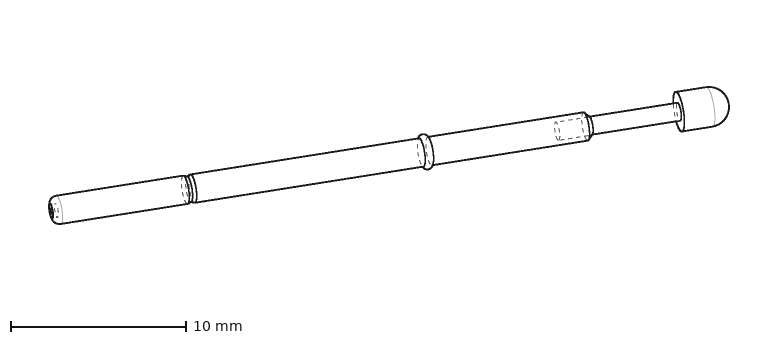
import cadquery as cq
import math


total_length = 40.3

head_diameter = 2.3
head_length = 2.95
stem_diameter = 1.05
stem_insertion = 2.0

barrel_diameter = 1.65
barrel_length = 32.1
rear_recess_diameter = 0.8
rear_recess_depth = 0.3
ring_center = 22.27
ring_diameter = 2.05
ring_width = 0.5
groove_center = 8.2
groove_width = 0.44
groove_depth = 0.08

head_radius = head_diameter / 2
stem_radius = stem_diameter / 2
barrel_radius = barrel_diameter / 2
rear_recess_radius = rear_recess_diameter / 2
stem_end = barrel_length - stem_insertion

diagonal = math.sin(math.radians(45))


def revolve_about_y(profile):
    """Turn a closed (Y, Z) half profile around the Y axis."""
    return profile.revolve(360, (0, 0, 0), (1, 0, 0))


def make_plunger():
    """Stem with a cylindrical head and a hemispherical contact tip."""
    head_back = total_length - head_length
    dome_start = total_length - head_radius
    dome_middle = head_radius * diagonal
    profile = (
        cq.Workplane("YZ")
        .moveTo(stem_end, 0)
        .lineTo(stem_end, stem_radius)
        .lineTo(head_back, stem_radius)
        .lineTo(head_back, head_radius)
        .lineTo(dome_start, head_radius)
        .threePointArc((dome_start + dome_middle, dome_middle), (total_length, 0))
        .close()
    )
    return revolve_about_y(profile)


def make_barrel():
    """Barrel with a rounded, recessed rear end, a V groove, a press ring and a tapered nose."""
    rear_round = barrel_radius - rear_recess_radius
    nose_chamfer = barrel_radius - stem_radius
    nose_start = barrel_length - nose_chamfer
    button_radius = (rear_recess_radius**2 + rear_recess_depth**2) / (2 * rear_recess_depth)
    button_half_angle = math.asin(rear_recess_radius / button_radius) / 2
    button_middle = (
        button_radius * (1 - math.cos(button_half_angle)),
        button_radius * math.sin(button_half_angle),
    )
    profile = (
        cq.Workplane("YZ")
        .moveTo(0, 0)
        .threePointArc(button_middle, (rear_recess_depth, rear_recess_radius))
        .lineTo(0, rear_recess_radius)
        .threePointArc(
            (rear_round * (1 - diagonal), rear_recess_radius + rear_round * diagonal),
            (rear_round, barrel_radius),
        )
        .lineTo(groove_center - groove_width / 2, barrel_radius)
        .lineTo(groove_center, barrel_radius - groove_depth)
        .lineTo(groove_center + groove_width / 2, barrel_radius)
        .lineTo(ring_center - ring_width / 2, barrel_radius)
        .threePointArc((ring_center, ring_diameter / 2), (ring_center + ring_width / 2, barrel_radius))
        .lineTo(nose_start, barrel_radius)
        .lineTo(barrel_length, stem_radius)
        .lineTo(stem_end, stem_radius)
        .lineTo(stem_end, 0)
        .close()
    )
    return revolve_about_y(profile)


plunger = make_plunger()
barrel = make_barrel()

result = cq.Compound.makeCompound([plunger.val(), barrel.val()])